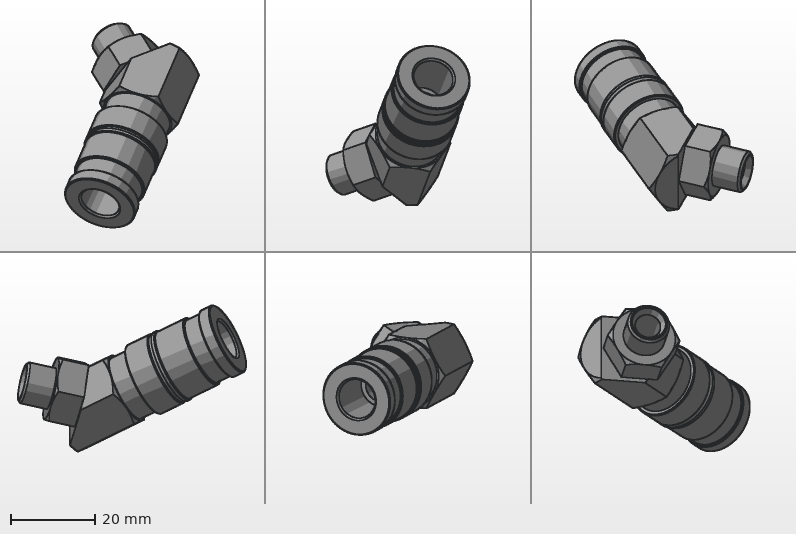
import cadquery as cq
import math


flange_radius = 8.8
flange_length = 3.1
waist_radius = 8.25
body_start = 7.05
ring_start = 14.85
ring_edge = 15.85
groove_arc_start = 16.5
groove_radius = 8.8
collar_start = 16.7
collar_end = 23.2
collar_radius = 9.09
neck_radius = 8.05
edge_chamfer = 0.25

block_flats = 17.0
block_start = 27.95
block_end = block_start + block_flats
outlet_angle = 45
elbow_y = 34.5
cut_y = 42.45

nut_flats = 15.0
nut_length = 7.0
hex_chamfer_angle = 30
spigot_radius = 5.0
spigot_length = 7.0
spigot_chamfer = 0.55

mouth_radius = 5.2
inlet_radius = 4.75
mouth_chamfer = mouth_radius - inlet_radius
inlet_depth = 12.9
passage_radius = 3.55
passage_end = 41.5
outlet_bore_radius = 3.05
outlet_mouth_radius = 4.0
outlet_cone_depth = 1.55

arc_length = groove_arc_start - ring_edge
arc_depth = collar_radius - groove_radius
arc_radius = (arc_length**2 + arc_depth**2) / (2 * arc_depth)
half_sweep = math.asin(arc_length / arc_radius) / 2
groove_arc_middle = (
    groove_radius + arc_radius * (1 - math.cos(half_sweep)),
    groove_arc_start - arc_radius * math.sin(half_sweep),
)

cut_distance = (cut_y - elbow_y) * math.cos(math.radians(outlet_angle))
nut_end = cut_distance + nut_length
spigot_end = nut_end + spigot_length


def cylinder(radius, start, end):
    """Cylinder about Y between two stations."""
    return cq.Workplane("XZ", origin=(0, start, 0)).circle(radius).extrude(start - end)


def chamfered_cylinder(radius, start, end, chamfer, end_faces="<Y or >Y"):
    """Cylinder about Y with the rims of the chosen end faces chamfered."""
    return cylinder(radius, start, end).faces(end_faces).edges().chamfer(chamfer)


def cone(start_radius, end_radius, start, end):
    """Solid cone frustum about Y."""
    profile = [(0, start), (start_radius, start), (end_radius, end), (0, end)]
    return cq.Workplane("XY").polyline(profile).close().revolve(360, (0, 0), (0, 1))


def hexagon(flats, start, end, chamfer_start, chamfer_end):
    """Hexagon about Y, corners on X, with conical chamfers touching the flats at its ends."""
    corner_radius = flats / math.sqrt(3)
    flat_radius = flats / 2
    chamfer = (corner_radius - flat_radius) * math.tan(math.radians(hex_chamfer_angle))
    prism = (
        cq.Workplane("XZ", origin=(0, start, 0))
        .polygon(6, 2 * corner_radius)
        .extrude(start - end)
    )
    start_radius = flat_radius if chamfer_start else corner_radius
    end_radius = flat_radius if chamfer_end else corner_radius
    envelope = (
        cq.Workplane("XY")
        .moveTo(0, start)
        .lineTo(start_radius, start)
        .lineTo(corner_radius, start + chamfer)
        .lineTo(corner_radius, end - chamfer)
        .lineTo(end_radius, end)
        .lineTo(0, end)
        .close()
        .revolve(360, (0, 0), (0, 1))
    )
    return prism.intersect(envelope)


def to_outlet(shape):
    """Turn a shape built along Y from the origin onto the outlet axis."""
    return shape.rotate((0, 0, 0), (0, 0, 1), outlet_angle).translate((0, elbow_y, 0))


def make_ring():
    """Ring with a chamfered lower rim and a concave arc sweeping up into the groove."""
    return (
        cq.Workplane("XY")
        .moveTo(0, ring_start)
        .lineTo(collar_radius - edge_chamfer, ring_start)
        .lineTo(collar_radius, ring_start + edge_chamfer)
        .lineTo(collar_radius, ring_edge)
        .threePointArc(groove_arc_middle, (groove_radius, groove_arc_start))
        .lineTo(groove_radius, collar_start)
        .lineTo(0, collar_start)
        .close()
        .revolve(360, (0, 0), (0, 1))
    )


def make_sleeve():
    sleeve = chamfered_cylinder(flange_radius, 0, flange_length, edge_chamfer)
    sleeve = sleeve.union(cylinder(waist_radius, flange_length, body_start))
    sleeve = sleeve.union(chamfered_cylinder(flange_radius, body_start, ring_start, edge_chamfer, "<Y"))
    sleeve = sleeve.union(make_ring())
    sleeve = sleeve.union(chamfered_cylinder(collar_radius, collar_start, collar_end, edge_chamfer))
    return sleeve.union(cylinder(neck_radius, collar_end, block_start))


def make_block():
    block = hexagon(block_flats, block_start, block_end, True, True)
    cutter_size = 4 * block_flats
    beyond_face = cq.Workplane("XY").box(cutter_size, cutter_size, cutter_size)
    beyond_face = beyond_face.translate((0, cut_distance + cutter_size / 2, 0))
    return block.cut(to_outlet(beyond_face))


def make_outlet():
    nut = hexagon(nut_flats, cut_distance, nut_end, False, True)
    spigot = chamfered_cylinder(spigot_radius, nut_end, spigot_end, spigot_chamfer, ">Y")
    return to_outlet(nut.union(spigot))


def make_bores():
    bores = cylinder(inlet_radius, 0, inlet_depth)
    bores = bores.union(cone(mouth_radius, inlet_radius, 0, mouth_chamfer))
    bores = bores.union(cylinder(passage_radius, inlet_depth, passage_end))
    outlet_bore = cylinder(outlet_bore_radius, 0, spigot_end)
    outlet_mouth = cone(outlet_bore_radius, outlet_mouth_radius, spigot_end - outlet_cone_depth, spigot_end)
    return bores.union(to_outlet(outlet_bore.union(outlet_mouth)))


result = make_sleeve().union(make_block()).union(make_outlet()).cut(make_bores())